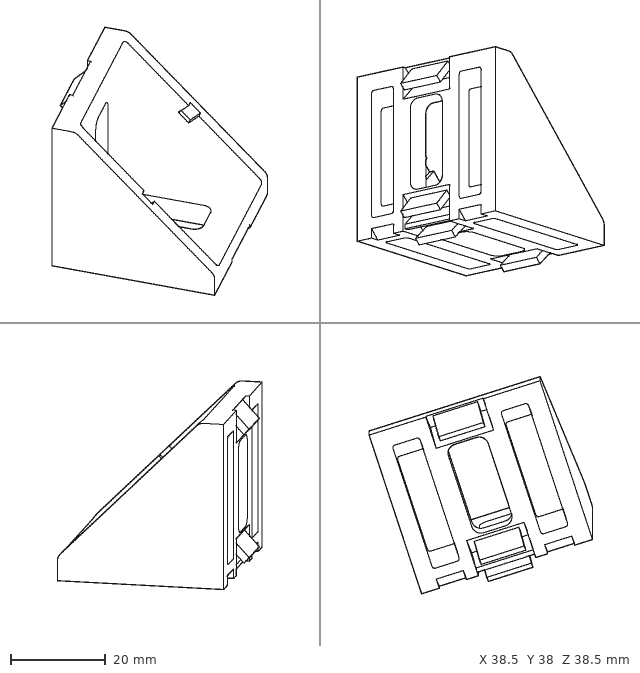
import cadquery as cq
import math


leg = 36.0
depth = 38.0
wall = 5.2
end_radius = 2.0
slope_sum = leg + wall

cheek = 3.0
inner_corner_radius = 2.0
cheek_fillet = 0.92

slot_start = 8.5
slot_length = 20.0
slot_width = 8.8
slot_radius = 2.0

recess_offset = 12.05
recess_width = 6.0
recess_start = 4.4
recess_end = 32.25
recess_depth = 3.2
recess_fillet = 0.5
corner_notch = 2.08

groove_width = 12.75
groove_depth = 3.5
groove_middle = 4.5
open_groove_bottom = 28.9
open_groove_mouth = 0.75
tab_pitch = 28.0
tab_width = 9.95
tab_reach = 2.5
tab_tip_height = 3.6
tab_tip_run = 1.2
tab_angle = 47
tab_run = 3.85
corner_step = 0.65

slit_width = 3.2
slit_depth = 3.2
slit_bite = 1.15


def prism(points, width, middle=0):
    """Closed X-Z outline extruded along Y, centred on Y = middle."""
    outline = cq.Workplane("XZ", origin=(0, middle, 0)).polyline(points).close()
    return outline.extrude(width / 2, both=True)


def box(x_range, y_range, z_range):
    """Box spanning the given ranges."""
    sizes = [high - low for low, high in (x_range, y_range, z_range)]
    corner = (x_range[0], y_range[0], z_range[0])
    return cq.Workplane("XY").box(*sizes, centered=False).translate(corner)


def swapped(shape):
    """The same shape on the other wall (X and Z exchanged)."""
    return shape.mirror((1, 0, -1))


def make_body():
    outline = [(0, 0), (leg, 0), (leg, wall), (wall, leg), (0, leg)]
    slope = prism(outline, depth).faces(">(1, 0, 1)")
    return slope.edges("|Y").fillet(end_radius)


def make_pocket():
    """Rounded box reaching well past the slope."""
    half = depth / 2 - cheek
    pocket = box((wall, 2 * leg), (-half, half), (wall, 2 * leg))
    pocket = pocket.edges("|Y and <X and <Z").fillet(inner_corner_radius)
    return pocket.faces(">Y or <Y").edges().fillet(cheek_fillet)


def make_bolt_slot():
    half = slot_width / 2
    slot = box((-leg, wall + inner_corner_radius), (-half, half), (slot_start, slot_start + slot_length))
    return slot.edges("|X").fillet(slot_radius)


def make_recess(side):
    outline = [
        (0, recess_start),
        (recess_depth, recess_start + recess_depth),
        (recess_depth, recess_end - recess_depth),
        (0, recess_end),
    ]
    recess = prism(outline, recess_width, side * recess_offset)
    sloped_ends = recess.faces("<Z or >Z")
    return sloped_ends.edges("not |Y").fillet(recess_fillet)


def make_corner_notch(side):
    outline = [(0, 0), (corner_notch, 0), (0, corner_notch)]
    return prism(outline, recess_width, side * recess_offset)


def make_groove():
    outline = [
        (0, groove_middle - groove_depth),
        (groove_depth, groove_middle),
        (0, groove_middle + groove_depth),
    ]
    return prism(outline, groove_width)


def make_open_groove():
    valley_depth = (leg + open_groove_mouth - open_groove_bottom) / 2
    outline = [
        (0, open_groove_bottom),
        (valley_depth, open_groove_bottom + valley_depth),
        (open_groove_mouth, leg),
        (0, leg),
    ]
    return prism(outline, groove_width)


def make_tab(lift):
    """Slanted tab, its root buried in the wall behind the groove."""
    rise = tab_run * math.tan(math.radians(tab_angle))
    tip_upper = (-tab_reach, lift + tab_tip_height)
    tip_lower = (tip_upper[0] + tab_tip_run, tip_upper[1] - tab_tip_run)
    root_lower = (tip_lower[0] + tab_run, tip_lower[1] + rise)
    root_upper = (tip_upper[0] + tab_run, tip_upper[1] + rise)
    return prism([tip_upper, tip_lower, root_lower, root_upper], tab_width)


def make_slits():
    half = depth / 2 - cheek + slit_bite
    slit = cq.Workplane("XY").box(2 * slit_depth, 2 * half, slit_width).rotate((0, 0, 0), (0, 1, 0), -45)
    return slit.translate((slope_sum / 2, 0, slope_sum / 2))


body = make_body().cut(make_pocket()).cut(make_slits())
step = box((0, corner_step), (-groove_width / 2, groove_width / 2), (0, groove_middle))

cuts = [make_bolt_slot(), step, make_groove(), make_open_groove()]
for side in (-1, 1):
    cuts += [make_recess(side), make_corner_notch(side)]

for cut in cuts:
    body = body.cut(cut).cut(swapped(cut))
for lift in (0, tab_pitch):
    tab = make_tab(lift)
    body = body.union(tab).union(swapped(tab))

result = body